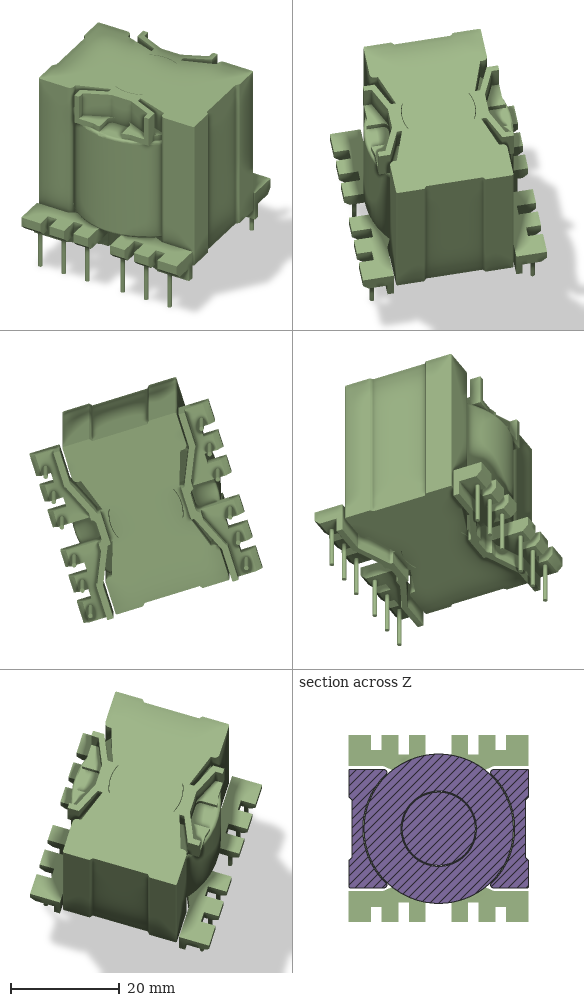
import cadquery as cq
import math


WIDTH = 33.0
DEPTH = 34.4
HEIGHT = 37.8

CORE_DEPTH = 21.92
CORE_HEIGHT = 30.3
PLATE_THICKNESS = 4.55
POST_RADIUS = 6.75
LEG_BORE_RADIUS = 13.9
CORE_EDGE_CHAMFER = 0.2
SIDE_RECESS = 0.53
SIDE_RECESS_HALF_INNER = 5.3
SIDE_RECESS_HALF_OUTER = 5.75
LEG_OPENING_HALF = 9.4
LEG_EDGE_RADIUS = 0.87
NOTCH_CORNER_Y = 9.55
NOTCH_ANGLE = 19.0

TUBE_BORE_RADIUS = 6.88
WINDING_RADIUS = 13.75
WINDING_EDGE_RADIUS = 0.53
TOP_FLANGE_THICKNESS = 1.15
TOP_FLANGE_DEPTH = 4.8
WIRE_SLOT_HALF = 2.35
WIRE_SLOT_RADIUS = 1.02

NECK_HALF = 3.1
NECK_ROOT_HALF = 2.87
BRACE_FRONT = 12.63
BRACE_ANGLE = 24.0
BRACE_BACK_Y = 9.07
BRACE_BACK_HALF = 2.05
BRACE_OUTER_HALF = 7.9
BRACE_OUTER_Y = 10.47
BRACE_END_WALL = 1.02
NECK_FILLET = 0.38
ARM_ROOT_RADIUS = 0.45

RAIL_BACK = 11.45
RAIL_THICKNESS = 2.9
RAIL_CHAMFER = 1.05
RAIL_TOP = 10.85
FOOT_BOTTOM = 5.05
FOOT_INNER_HALF = 9.68
FOOT_BACK_HALF = 3.78
LOWER_NECK_Y = 7.75
OUTER_NOTCH_X = 11.45
OUTER_NOTCH_DEPTH = 2.8
INNER_NOTCH_X = 6.43
INNER_NOTCH_DEPTH = 3.6
NOTCH_WIDTH = 1.93

PIN_DIAMETER = 0.85
PIN_PITCH = 5.0
PIN_FIRST_X = 3.75
PIN_ROW_Y = 15.0
PINS_PER_SIDE = 3

CORE_BOTTOM = HEIGHT - CORE_HEIGHT
TOP_FLANGE_TOP = HEIGHT - TOP_FLANGE_DEPTH
WINDING_TOP = TOP_FLANGE_TOP - TOP_FLANGE_THICKNESS
RAIL_BOTTOM = RAIL_TOP - RAIL_THICKNESS
TOP_FLANGE_RADIUS = WINDING_RADIUS - WINDING_EDGE_RADIUS
NECK_ROOT_Y = math.sqrt(TUBE_BORE_RADIUS**2 - NECK_ROOT_HALF**2)
HALF_WIDTH = WIDTH / 2
HALF_DEPTH = DEPTH / 2
CORE_FRONT = CORE_DEPTH / 2
NOTCH_SLOPE = math.tan(math.radians(NOTCH_ANGLE))
BRACE_SLOPE = math.tan(math.radians(BRACE_ANGLE))


def slab(outline, bottom, top):
    """Extrude a closed XY polygon between two levels."""
    return cq.Workplane("XY").workplane(offset=bottom).polyline(outline).close().extrude(top - bottom)


def cylinder(radius, bottom, top):
    return cq.Workplane("XY").workplane(offset=bottom).circle(radius).extrude(top - bottom)


def block(half_width, back, front, bottom, top):
    """Box centred on X between two Y and two Z levels."""
    outline = [(-half_width, back), (half_width, back), (half_width, front), (-half_width, front)]
    return slab(outline, bottom, top)


def mirrored(right_half):
    """Close an outline listed for +X, from the centre outwards, by mirroring it about X = 0."""
    return right_half + [(-x, y) for x, y in reversed(right_half)]


def both_sides(shape):
    """Add the copy of a shape on the opposite Y side."""
    return shape.union(shape.mirror("XZ"))


def notch_edge_y(x):
    """Slanted edge of the notch in the core plates."""
    return NOTCH_CORNER_Y - (LEG_OPENING_HALF - x) * NOTCH_SLOPE


def brace_outer_y(x):
    """Core-side face of the slanted brace arms."""
    return BRACE_OUTER_Y + (x - BRACE_OUTER_HALF) * BRACE_SLOPE


def brace_inner_y(x):
    """Outward face of the slanted brace arms."""
    return BRACE_BACK_Y + (x - BRACE_BACK_HALF) * BRACE_SLOPE


def make_core():
    core = block(HALF_WIDTH, -CORE_FRONT, CORE_FRONT, CORE_BOTTOM, HEIGHT)
    core = core.edges("|Z").chamfer(CORE_EDGE_CHAMFER)

    side_recess = slab(
        [
            (HALF_WIDTH, -SIDE_RECESS_HALF_OUTER),
            (HALF_WIDTH - SIDE_RECESS, -SIDE_RECESS_HALF_INNER),
            (HALF_WIDTH - SIDE_RECESS, SIDE_RECESS_HALF_INNER),
            (HALF_WIDTH, SIDE_RECESS_HALF_OUTER),
        ],
        CORE_BOTTOM,
        HEIGHT,
    )
    core = core.cut(side_recess).cut(side_recess.mirror("YZ"))

    neck_y = notch_edge_y(NECK_HALF)
    mouth_half = LEG_OPENING_HALF + LEG_EDGE_RADIUS
    flare_start_y = CORE_FRONT - LEG_EDGE_RADIUS
    arc_offset = LEG_EDGE_RADIUS * (1 - math.sqrt(0.5))
    arc_middle = (LEG_OPENING_HALF + arc_offset, CORE_FRONT - arc_offset)
    notch = (
        cq.Workplane("XY")
        .workplane(offset=CORE_BOTTOM)
        .moveTo(-NECK_ROOT_HALF, 0)
        .lineTo(NECK_ROOT_HALF, 0)
        .lineTo(NECK_ROOT_HALF, NECK_ROOT_Y)
        .lineTo(NECK_HALF, neck_y)
        .lineTo(LEG_OPENING_HALF, NOTCH_CORNER_Y)
        .lineTo(LEG_OPENING_HALF, flare_start_y)
        .threePointArc(arc_middle, (mouth_half, CORE_FRONT))
        .lineTo(-mouth_half, CORE_FRONT)
        .threePointArc((-arc_middle[0], arc_middle[1]), (-LEG_OPENING_HALF, flare_start_y))
        .lineTo(-LEG_OPENING_HALF, NOTCH_CORNER_Y)
        .lineTo(-NECK_HALF, neck_y)
        .lineTo(-NECK_ROOT_HALF, NECK_ROOT_Y)
        .close()
        .extrude(CORE_HEIGHT)
    )
    core = core.cut(both_sides(notch))

    window = cylinder(LEG_BORE_RADIUS, CORE_BOTTOM + PLATE_THICKNESS, HEIGHT - PLATE_THICKNESS)
    return core.cut(window).union(cylinder(POST_RADIUS, CORE_BOTTOM, HEIGHT))


def make_winding():
    winding = cylinder(WINDING_RADIUS, RAIL_TOP, WINDING_TOP)
    winding = winding.faces("<Z or >Z").edges().fillet(WINDING_EDGE_RADIUS)
    return winding.union(cylinder(TOP_FLANGE_RADIUS, WINDING_TOP, TOP_FLANGE_TOP))


def round_neck(brace):
    """Round the inside corners where the arms leave the neck."""
    corner_y = brace_outer_y(NECK_HALF)
    for x in (-NECK_HALF, NECK_HALF):
        corner = cq.selectors.BoxSelector(
            (x - 0.05, corner_y - 0.05, 0), (x + 0.05, corner_y + 0.05, HEIGHT)
        )
        brace = brace.edges("|Z").edges(corner).fillet(NECK_FILLET)
    return brace


def make_arm_root():
    """Concave blend between the core-side face of one upper arm and the winding flange."""
    angle = math.radians(BRACE_ANGLE)
    arm_length = (BRACE_OUTER_HALF - NECK_HALF) / math.cos(angle)
    outer_end = cq.Plane(
        origin=(BRACE_OUTER_HALF, BRACE_OUTER_Y, TOP_FLANGE_TOP),
        xDir=(math.sin(angle), -math.cos(angle), 0),
        normal=(-math.cos(angle), -math.sin(angle), 0),
    )
    arc_middle = ARM_ROOT_RADIUS * (1 - math.sqrt(0.5))
    return (
        cq.Workplane(outer_end)
        .lineTo(ARM_ROOT_RADIUS, 0)
        .threePointArc((arc_middle, arc_middle), (0, ARM_ROOT_RADIUS))
        .close()
        .extrude(arm_length)
    )


def make_upper_brace():
    brace = slab(
        mirrored(
            [
                (NECK_ROOT_HALF, 0),
                (NECK_ROOT_HALF, NECK_ROOT_Y),
                (NECK_HALF, notch_edge_y(NECK_HALF)),
                (NECK_HALF, brace_outer_y(NECK_HALF)),
                (BRACE_OUTER_HALF, BRACE_OUTER_Y),
                (BRACE_OUTER_HALF, BRACE_FRONT),
            ]
        ),
        WINDING_TOP,
        HEIGHT,
    )
    pocket_half = BRACE_OUTER_HALF - BRACE_END_WALL
    pocket = slab(
        mirrored(
            [
                (BRACE_BACK_HALF, BRACE_BACK_Y),
                (pocket_half, brace_inner_y(pocket_half)),
                (pocket_half, BRACE_FRONT),
            ]
        ),
        TOP_FLANGE_TOP,
        HEIGHT,
    )
    arm_root = make_arm_root()
    return round_neck(brace).cut(pocket).union(arm_root).union(arm_root.mirror("YZ"))


def make_lower_brace():
    """Pin rail with the slanted foot wall beneath it."""
    bend_half = BRACE_OUTER_HALF + (RAIL_BACK - BRACE_OUTER_Y) / BRACE_SLOPE
    back_edge = [
        (NECK_ROOT_HALF, 0),
        (NECK_ROOT_HALF, NECK_ROOT_Y),
        (NECK_HALF, notch_edge_y(NECK_HALF)),
        (NECK_HALF, brace_outer_y(NECK_HALF)),
        (bend_half, RAIL_BACK),
        (HALF_WIDTH, RAIL_BACK),
    ]
    rail = slab(mirrored(back_edge + [(HALF_WIDTH, HALF_DEPTH)]), RAIL_BOTTOM, RAIL_TOP)
    rail = rail.faces(">Y").edges("<Z").chamfer(RAIL_CHAMFER)
    notches = (
        (OUTER_NOTCH_X, OUTER_NOTCH_DEPTH),
        (INNER_NOTCH_X, INNER_NOTCH_DEPTH),
    )
    for x, depth in notches:
        notch = block(NOTCH_WIDTH / 2, HALF_DEPTH - depth, HALF_DEPTH, RAIL_BOTTOM, RAIL_TOP)
        rail = rail.cut(notch.translate((x, 0, 0))).cut(notch.translate((-x, 0, 0)))

    foot = slab(mirrored(back_edge + [(HALF_WIDTH, BRACE_FRONT)]), FOOT_BOTTOM, RAIL_BOTTOM)
    pocket = slab(
        mirrored(
            [
                (FOOT_BACK_HALF, brace_inner_y(FOOT_BACK_HALF)),
                (FOOT_INNER_HALF, brace_inner_y(FOOT_INNER_HALF)),
                (FOOT_INNER_HALF, BRACE_FRONT),
            ]
        ),
        FOOT_BOTTOM,
        RAIL_BOTTOM,
    )
    brace = round_neck(rail.union(foot.cut(pocket)))
    return brace.cut(block(HALF_WIDTH, 0, LOWER_NECK_Y, FOOT_BOTTOM, CORE_BOTTOM))


def make_wire_slot(bottom, top):
    """Central lead-out slot with rounded inner corners."""
    slot = block(WIRE_SLOT_HALF, BRACE_BACK_Y, HALF_DEPTH, bottom, top)
    return slot.faces("<Y").edges("|Z").fillet(WIRE_SLOT_RADIUS)


def make_pins():
    pins = cq.Workplane("XY")
    for index in range(PINS_PER_SIDE):
        x = PIN_FIRST_X + index * PIN_PITCH
        for side in (-1, 1):
            pins = pins.union(cylinder(PIN_DIAMETER / 2, 0, RAIL_BOTTOM).translate((side * x, PIN_ROW_Y, 0)))
    return pins


braces = make_upper_brace().union(make_lower_brace())
bobbin = make_winding().union(both_sides(braces))
bobbin = bobbin.cut(both_sides(make_wire_slot(WINDING_TOP, TOP_FLANGE_TOP)))
bobbin = bobbin.cut(both_sides(make_wire_slot(FOOT_BOTTOM, RAIL_TOP)))
bobbin = bobbin.cut(cylinder(TUBE_BORE_RADIUS, FOOT_BOTTOM, HEIGHT))

result = bobbin.union(make_core()).union(both_sides(make_pins()))